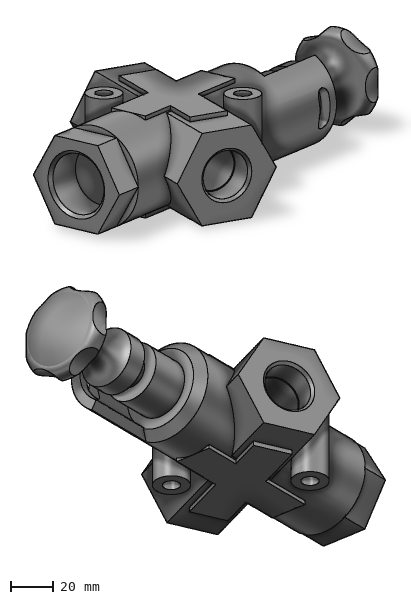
import cadquery as cq
import math

VALVE_TILT = 24.5

PIPE_LENGTH = 106.0
PIPE_FLATS = 46.0
PIPE_BORE_DIAMETER = 22.8
PORT_DIAMETER = 23.8
PORT_DEPTH = 14.0
PORT_CHAMFER = 1.5

BODY_DIAMETER = 50.8
BODY_RADIUS = BODY_DIAMETER / 2
BODY_BOTTOM = -61.0
BODY_TOP = 59.1
BODY_CHAMFER = 4.8
SPINDLE_DIAMETER = 20.0

NUT_LENGTH = 14.8
NUT_PORT_DIAMETER = 30.0
NUT_PORT_DEPTH = 19.2
NUT_PORT_CHAMFER = 1.7

GUARD_INNER_DIAMETER = 40.1
GUARD_TOP = 94.0
GUARD_HALF_ANGLE = 60.0
SLOT_CENTRE = 85.0
SLOT_WIDTH = 8.0
SLOT_LENGTH = 20.0

GLAND_DIAMETER = 30.0
GLAND_TOP = 80.0
STEM_DIAMETER = 16.0
COLLAR_DIAMETER = GLAND_DIAMETER
COLLAR_BOTTOM = 88.5
COLLAR_TOP = 98.5
WAIST_DIAMETER = 14.0
WAIST_HEIGHT = 110.5
RIM_DIAMETER = 48.0
RIM_BOTTOM = 122.9
RIM_TOP = 133.1
DOME_TOP = 136.5

GRIP_COUNT = 6
GRIP_RADIUS = 20.0
GRIP_DEPTH = 3.5

CROSS_LENGTH = 70.2
CROSS_WIDTH = 20.0

POST_DIAMETER = 18.0
POST_HOLE_DIAMETER = 8.5
POST_X = 15.9
POST_Y = 28.6


def cylinder_along_y(diameter, start, end):
    """Cylinder about the Y axis between two heights."""
    return (
        cq.Workplane("XZ", origin=(0, start, 0))
        .circle(diameter / 2)
        .extrude(start - end)
    )


def make_body():
    """Cylinder up to the guard top, with the open side cut down to a chamfered shoulder."""
    shoulder_radius = BODY_RADIUS - BODY_CHAMFER
    blank = cylinder_along_y(BODY_DIAMETER, BODY_BOTTOM, GUARD_TOP)
    hollow = cylinder_along_y(GUARD_INNER_DIAMETER, BODY_TOP, GUARD_TOP)
    open_side = (
        cq.Workplane("XY")
        .moveTo(0, BODY_TOP)
        .lineTo(shoulder_radius, BODY_TOP)
        .lineTo(BODY_DIAMETER, BODY_TOP - BODY_DIAMETER + shoulder_radius)
        .lineTo(BODY_DIAMETER, GUARD_TOP)
        .lineTo(0, GUARD_TOP)
        .close()
        .revolve(360 - 2 * GUARD_HALF_ANGLE, (0, 0), (0, 1))
        .rotate((0, 0, 0), (0, 1, 0), GUARD_HALF_ANGLE)
    )
    slot = (
        cq.Workplane("YZ")
        .center(SLOT_CENTRE, 0)
        .slot2D(SLOT_LENGTH, SLOT_WIDTH, 90)
        .extrude(BODY_DIAMETER)
    )
    return blank.cut(hollow).cut(open_side).cut(slot)


def make_nut():
    return (
        cq.Workplane("XZ", origin=(0, BODY_BOTTOM, 0))
        .polygon(6, BODY_DIAMETER)
        .extrude(NUT_LENGTH)
    )


def make_nut_port():
    nut_face = BODY_BOTTOM - NUT_LENGTH
    port_radius = NUT_PORT_DIAMETER / 2
    profile = (
        cq.Workplane("XY")
        .moveTo(0, nut_face)
        .lineTo(port_radius + NUT_PORT_CHAMFER, nut_face)
        .lineTo(port_radius, nut_face + NUT_PORT_CHAMFER)
        .lineTo(port_radius, nut_face + NUT_PORT_DEPTH)
        .lineTo(0, nut_face + NUT_PORT_DEPTH)
        .close()
    )
    return profile.revolve(360, (0, 0), (0, 1))


def make_handle():
    collar_radius = COLLAR_DIAMETER / 2
    rim_radius = RIM_DIAMETER / 2
    rim_round = (RIM_TOP - RIM_BOTTOM) / 2
    rim_middle = (RIM_TOP + RIM_BOTTOM) / 2
    round_start = rim_radius - rim_round
    dome_height = DOME_TOP - RIM_TOP
    dome_radius = (round_start**2 + dome_height**2) / (2 * dome_height)
    dome_mid = round_start / 2
    dome_mid_height = DOME_TOP - dome_radius + math.sqrt(dome_radius**2 - dome_mid**2)
    handle = (
        cq.Workplane("XY")
        .moveTo(0, COLLAR_BOTTOM)
        .lineTo(collar_radius, COLLAR_BOTTOM)
        .lineTo(collar_radius, COLLAR_TOP)
        .threePointArc((WAIST_DIAMETER / 2, WAIST_HEIGHT), (round_start, RIM_BOTTOM))
        .threePointArc((rim_radius, rim_middle), (round_start, RIM_TOP))
        .threePointArc((dome_mid, dome_mid_height), (0, DOME_TOP))
        .close()
        .revolve(360, (0, 0), (0, 1))
    )
    grip_cutters = (
        cq.Workplane("XZ", origin=(0, RIM_BOTTOM, 0))
        .polarArray(rim_radius - GRIP_DEPTH + GRIP_RADIUS, 0, 360, GRIP_COUNT)
        .circle(GRIP_RADIUS)
        .extrude(RIM_BOTTOM - DOME_TOP, combine=False)
    )
    for cutter in grip_cutters.vals():
        handle = handle.cut(cq.Workplane(cutter))
    return handle


def make_valve_line():
    line = make_body().union(make_nut()).cut(make_nut_port())
    line = line.union(cylinder_along_y(GLAND_DIAMETER, BODY_TOP, GLAND_TOP))
    line = line.union(cylinder_along_y(STEM_DIAMETER, GLAND_TOP, COLLAR_BOTTOM))
    return line.union(make_handle())


def tilt(solid):
    return solid.rotate((0, 0, 0), (0, 0, 1), VALVE_TILT)


def make_pipe():
    return (
        cq.Workplane("YZ")
        .polygon(6, PIPE_FLATS / math.cos(math.pi / 6))
        .extrude(PIPE_LENGTH / 2, both=True)
    )


def make_pipe_bore():
    bore_radius = PIPE_BORE_DIAMETER / 2
    port_radius = PORT_DIAMETER / 2
    mouth_radius = port_radius + PORT_CHAMFER
    half_length = PIPE_LENGTH / 2
    profile = (
        cq.Workplane("XY")
        .moveTo(-half_length, 0)
        .lineTo(-half_length, mouth_radius)
        .lineTo(-half_length + PORT_CHAMFER, port_radius)
        .lineTo(-half_length + PORT_DEPTH, port_radius)
        .lineTo(-half_length + PORT_DEPTH, bore_radius)
        .lineTo(half_length - PORT_DEPTH, bore_radius)
        .lineTo(half_length - PORT_DEPTH, port_radius)
        .lineTo(half_length - PORT_CHAMFER, port_radius)
        .lineTo(half_length, mouth_radius)
        .lineTo(half_length, 0)
        .close()
    )
    return profile.revolve(360, (0, 0), (1, 0))


def make_spindle():
    """Plain rod along the valve line, long enough to cross the whole pipe bore."""
    return cylinder_along_y(SPINDLE_DIAMETER, -PIPE_BORE_DIAMETER, PIPE_BORE_DIAMETER)


def make_cross():
    """Two crossed bars as tall as the body, one of them along the valve line."""
    arm_along_x = cq.Workplane("XY").box(CROSS_LENGTH, CROSS_WIDTH, BODY_DIAMETER)
    arm_along_y = cq.Workplane("XY").box(CROSS_WIDTH, CROSS_LENGTH, BODY_DIAMETER)
    return arm_along_x.union(tilt(arm_along_y))


def add_posts(solid):
    post_points = [(POST_X, POST_Y), (-POST_X, -POST_Y)]
    base = cq.Workplane("XY", origin=(0, 0, -BODY_RADIUS)).pushPoints(post_points)
    posts = base.circle(POST_DIAMETER / 2).extrude(BODY_DIAMETER)
    holes = base.circle(POST_HOLE_DIAMETER / 2).extrude(BODY_DIAMETER)
    return solid.union(posts).cut(holes)


housing = make_pipe().union(tilt(make_valve_line())).union(make_cross())
housing = housing.cut(make_pipe_bore())
result = add_posts(housing.union(tilt(make_spindle())))